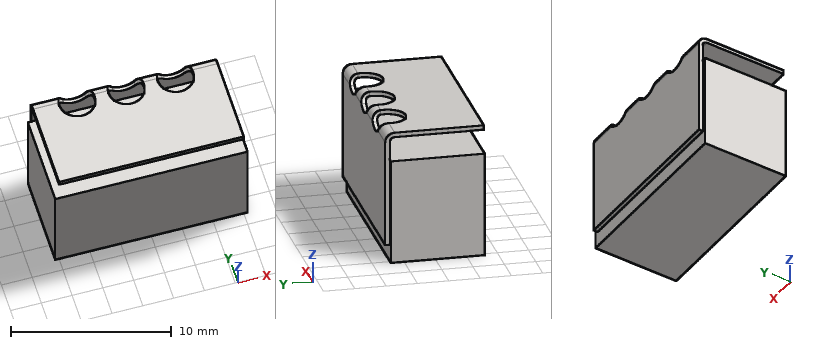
import cadquery as cq
import math

HOUSING_LENGTH = 12.5
HOUSING_DEPTH = 6.0
HOUSING_HEIGHT = 6.8

COVER_LENGTH = 12.0
SHEET_THICKNESS = 0.3
COVER_BOTTOM = 1.12
COVER_TOP = 8.6
BEND_INNER_RADIUS = SHEET_THICKNESS
BEND_OUTER_RADIUS = BEND_INNER_RADIUS + SHEET_THICKNESS
BEND_MID_RADIUS = (BEND_INNER_RADIUS + BEND_OUTER_RADIUS) / 2
BEND_ANGLE = math.pi / 2
BEND_LENGTH = BEND_MID_RADIUS * BEND_ANGLE
BEND_AXIS_Y = HOUSING_DEPTH - BEND_INNER_RADIUS
BEND_AXIS_Z = COVER_TOP - BEND_OUTER_RADIUS

HOLE_RADIUS = 1.15
HOLE_COUNT = 3
HOLE_PITCH = 3.2
HOLE_TO_BEND = 0.19
BEND_SECTIONS = 9
CUT_MARGIN = 0.12
CUT_DEPTH = SHEET_THICKNESS + 2 * CUT_MARGIN


def make_housing():
    return cq.Workplane("XY").box(
        HOUSING_LENGTH, HOUSING_DEPTH, HOUSING_HEIGHT, centered=(True, False, False)
    )


def bend_point(radius, angle):
    """Point (Y, Z) around the bend axis; angle 0 is at the top plate, 90 degrees at the wall."""
    return BEND_AXIS_Y + radius * math.sin(angle), BEND_AXIS_Z + radius * math.cos(angle)


def make_bent_sheet():
    back = HOUSING_DEPTH + SHEET_THICKNESS
    underside = COVER_TOP - SHEET_THICKNESS
    return (
        cq.Workplane("YZ", origin=(-COVER_LENGTH / 2, 0, 0))
        .moveTo(0, COVER_TOP)
        .lineTo(BEND_AXIS_Y, COVER_TOP)
        .threePointArc(bend_point(BEND_OUTER_RADIUS, BEND_ANGLE / 2), (back, BEND_AXIS_Z))
        .lineTo(back, COVER_BOTTOM)
        .lineTo(HOUSING_DEPTH, COVER_BOTTOM)
        .lineTo(HOUSING_DEPTH, BEND_AXIS_Z)
        .threePointArc(bend_point(BEND_INNER_RADIUS, BEND_ANGLE / 2), (BEND_AXIS_Y, underside))
        .lineTo(0, underside)
        .close()
        .extrude(COVER_LENGTH)
    )


def hole_half_width(distance):
    """Half the width of a hole at this distance from its centre, measured along the flat sheet."""
    return math.sqrt(HOLE_RADIUS**2 - distance**2)


def make_plate_cutter(x):
    """The part of the hole that lies in the flat top plate."""
    half_width = hole_half_width(HOLE_TO_BEND)
    hole_front = BEND_AXIS_Y - HOLE_TO_BEND - HOLE_RADIUS
    return (
        cq.Workplane("XY", origin=(x, 0, COVER_TOP + CUT_MARGIN))
        .moveTo(-half_width, BEND_AXIS_Y)
        .threePointArc((0, hole_front), (half_width, BEND_AXIS_Y))
        .close()
        .extrude(-CUT_DEPTH)
    )


def bend_section(x, angle):
    """Rectangle across the bent sheet, as wide as the hole is at this angle of the bend."""
    half_width = hole_half_width(HOLE_TO_BEND + BEND_MID_RADIUS * angle)
    inner = bend_point(BEND_INNER_RADIUS - CUT_MARGIN, angle)
    outer = bend_point(BEND_OUTER_RADIUS + CUT_MARGIN, angle)
    corners = [
        cq.Vector(x - half_width, *inner),
        cq.Vector(x + half_width, *inner),
        cq.Vector(x + half_width, *outer),
        cq.Vector(x - half_width, *outer),
    ]
    return cq.Wire.makePolygon(corners, close=True)


def make_bend_cutter(x):
    """The part of the hole that lies in the bend, lofted around the bend axis."""
    step = BEND_ANGLE / (BEND_SECTIONS - 1)
    sections = [bend_section(x, i * step) for i in range(BEND_SECTIONS)]
    return cq.Workplane(cq.Solid.makeLoft(sections))


def make_wall_cutter(x):
    """The part of the hole that dips into the flat back wall, below the bend."""
    half_width = hole_half_width(HOLE_TO_BEND + BEND_LENGTH)
    hole_bottom = BEND_AXIS_Z + BEND_LENGTH + HOLE_TO_BEND - HOLE_RADIUS
    return (
        cq.Workplane("XZ", origin=(x, HOUSING_DEPTH - CUT_MARGIN, 0))
        .moveTo(-half_width, BEND_AXIS_Z)
        .threePointArc((0, hole_bottom), (half_width, BEND_AXIS_Z))
        .close()
        .extrude(-CUT_DEPTH)
    )


def make_cover():
    sheet = make_bent_sheet()
    for i in range(HOLE_COUNT):
        x = (i - (HOLE_COUNT - 1) / 2) * HOLE_PITCH
        sheet = sheet.cut(make_plate_cutter(x))
        sheet = sheet.cut(make_bend_cutter(x))
        sheet = sheet.cut(make_wall_cutter(x))
    return sheet.solids()


housing = make_housing()
cover = make_cover()

result = cq.Compound.makeCompound([housing.val(), cover.val()])